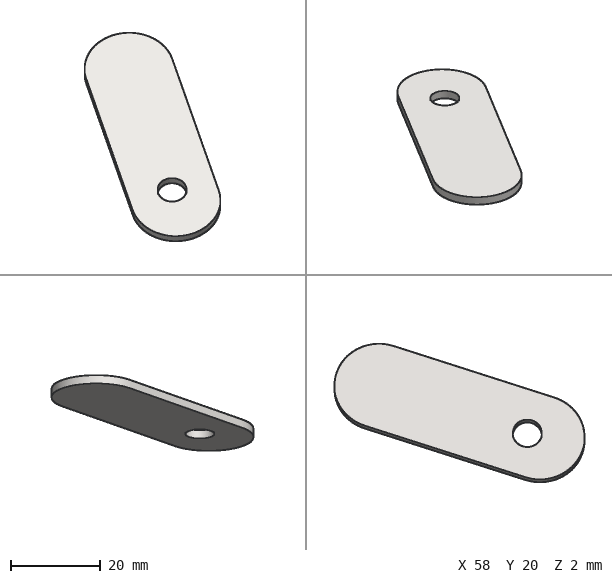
import cadquery as cq

length = 58
width = 20.0
thickness = 2.0
hole_diameter = 6.5
hole_offset = 16.0

plate = cq.Workplane("XY").slot2D(length, width).extrude(thickness)

result = (
    plate.faces(">Z")
    .workplane(origin=(0, 0, thickness))
    .center(hole_offset, 0)
    .hole(hole_diameter)
)